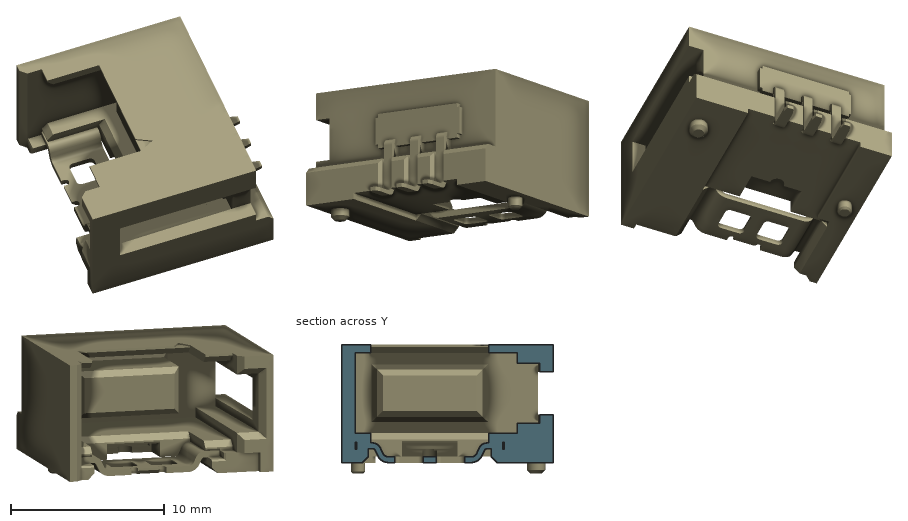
import cadquery as cq
import math


LEFT = -5.75
RIGHT = 8.05
BODY_BACK = 11.4
BODY_TOP = 7.7
BASE_BACK = 12.6
BASE_TOP = 2.53
BASE_CHAMFER = 0.35

CAVITY_LEFT = -4.85
CAVITY_RIGHT = 5.68
CAVITY_BACK = 10.2
FLOOR = 1.93
CEILING = 7.14
MOUTH_DEPTH = 1.41
MOUTH_CHAMFER = 0.4
WINDOW_HALF = 3.83
WINDOW_BACK = 5.01
EDGE_CHAMFER = 0.4

KEY_RIGHT = 7.15
KEY_BOTTOM = 2.6
KEY_TOP = 6.46
KEY_CHAMFER = 0.42
KEY_LIP_DEPTH = 1.9
KEY_TAPER = 0.12
OPENING_BOTTOM = 3.14
OPENING_TOP = 5.92

TONGUE_Z = 4.53
TONGUE_FRONT = 5.93
TONGUE_TIP = (3.05, 1.16)
TONGUE_SHOULDER = (3.44, 1.55)
TONGUE_ROOT = (3.79, 1.87)

LEDGE_FRONT = 0.4
LEDGE_HALF = 3.98
LEDGE_CHAMFER = 0.4
SLOT_BOTTOM = 0.91
SLOT_TOP = 1.31
SLOT_RIGHT = 4.83
LEAD_IN = 0.12
LEAD_IN_DEPTH = 0.06
UNDERSIDE = 0.4
UNDERSIDE_STEP = 0.5
UNDERSIDE_LEFT = -3.54
UNDERSIDE_RIGHT = 4.4

PLATE_FRONT = 1.36
PLATE_BACK = 4.9
PLATE_THICKNESS = SLOT_TOP - SLOT_BOTTOM
EAR_HALF = 4.77
RAMP_ANGLE = 65
RAMP_TOP_X = 3.36
BEND_RADIUS = 0.6
FOOT_BEND_RADIUS = 0.4
PLATE_HOLE_X = 1.35
PLATE_HOLE_Y = 3.12
PLATE_HOLE_SIZE = (1.82, 1.74)
PLATE_HOLE_RADIUS = 0.3
NICK_X = 0.95
NICK_WIDTH = 0.44
NICK_DEPTH = 0.45
LIP_CHAMFER = 0.25

POCKET_HALF = 1.8
POCKET_BACK = 7.0
TAB_SLOT_HALF = 1.64
TAB_HALF = 1.55
TAB_SLOT_BOTTOM = 0.8
TAB_SLOT_DEPTH = 0.4
RECESS_DIAMETER = 0.96

PIN_PITCH = 2.0
PIN_WIDTH = 0.62
PIN_THICKNESS = 0.26
PIN_TIP_Y = 14.05
PIN_TAPER_LENGTH = 0.4
PIN_TAPER = 0.1
PIN_TOP = 3.82
PIN_FACE_Y = 12.24
PIN_BEND_RADIUS = 0.42
PIN_FOOT_RADIUS = 0.23
PIN_SLOT_WIDTH = 0.75
PIN_SLOT_LEAD = 0.24
PIN_SLOT_LEAD_WIDTH = 0.15
GUSSET_FOOT = 0.22
GUSSET_TOP = 3.23

PAD_HALF = 3.22
PAD_BOTTOM = 3.37
PAD_TOP = 5.66
PAD_THICKNESS = 0.4
PAD_CORNER_X = 0.17
PAD_CORNER_Z = 0.25

PEG_LENGTH = 0.7
PEGS = [(-4.67, 7.27, 0.93, 0.13), (6.91, 10.27, 1.2, 0.24)]

MARK_X = 3.3
MARK_HALF = 0.52
MARK_TIP_Y = 6.0
MARK_DEPTH = 0.1

MARGIN = 1.0


def box(x0, x1, y0, y1, z0, z1):
    return cq.Workplane("XY").box(x1 - x0, y1 - y0, z1 - z0, centered=False).translate((x0, y0, z0))


def prism_along_x(points, x0, x1):
    """Outline of (y, z) points extruded from x0 to x1."""
    return cq.Workplane("YZ").polyline(points).close().extrude(x1 - x0).translate((x0, 0, 0))


def prism_along_y(points, y0, y1):
    """Outline of (x, z) points extruded from y0 to y1."""
    return cq.Workplane("XZ").polyline(points).close().extrude(y0 - y1).translate((0, y0, 0))


def prism_along_z(points, z0, z1):
    """Outline of (x, y) points extruded from z0 to z1."""
    return cq.Workplane("XY").polyline(points).close().extrude(z1 - z0).translate((0, 0, z0))


def outer_body():
    profile = [
        (0, 0),
        (BASE_BACK, 0),
        (BASE_BACK, BASE_TOP - BASE_CHAMFER),
        (BASE_BACK - BASE_CHAMFER, BASE_TOP),
        (BODY_BACK, BASE_TOP),
        (BODY_BACK, BODY_TOP),
        (0, BODY_TOP),
    ]
    return prism_along_x(profile, LEFT, RIGHT)


def edge_bevels(y, x0, x1):
    """Wedges that bevel the ceiling and floor edges lying at depth y."""
    bevels = cq.Workplane("XY")
    for face, outward in ((CEILING, 1), (FLOOR, -1)):
        wedge = [(y, face), (y + EDGE_CHAMFER, face), (y, face + outward * EDGE_CHAMFER)]
        bevels = bevels.add(prism_along_x(wedge, x0, x1))
    return bevels.combine()


def cut_cavity(body):
    body = body.cut(box(CAVITY_LEFT, CAVITY_RIGHT, 0, CAVITY_BACK, FLOOR, CEILING))
    mouth = [
        (CAVITY_LEFT - MOUTH_CHAMFER, 0),
        (CAVITY_LEFT, MOUTH_CHAMFER),
        (CAVITY_LEFT, MOUTH_DEPTH),
        (CAVITY_RIGHT, MOUTH_DEPTH),
        (CAVITY_RIGHT, MOUTH_CHAMFER),
        (CAVITY_RIGHT + MOUTH_CHAMFER, 0),
    ]
    body = body.cut(prism_along_z(mouth, 0, BODY_TOP))
    body = body.cut(box(-WINDOW_HALF, WINDOW_HALF, 0, WINDOW_BACK, 0, BODY_TOP))
    body = body.cut(edge_bevels(MOUTH_DEPTH, CAVITY_LEFT, -WINDOW_HALF))
    body = body.cut(edge_bevels(MOUTH_DEPTH, WINDOW_HALF, CAVITY_RIGHT))
    return body.cut(edge_bevels(WINDOW_BACK, -WINDOW_HALF, WINDOW_HALF))


def cut_key_slot(body):
    back_right = KEY_RIGHT - KEY_TAPER
    slot = [
        (CAVITY_RIGHT - MARGIN, 0),
        (KEY_RIGHT, 0),
        (KEY_RIGHT, KEY_LIP_DEPTH),
        (back_right, CAVITY_BACK),
        (CAVITY_RIGHT - MARGIN, CAVITY_BACK),
    ]
    body = body.cut(prism_along_z(slot, KEY_BOTTOM, KEY_TOP))
    height = KEY_TOP - KEY_BOTTOM
    flare = (
        cq.Workplane("XZ")
        .center((CAVITY_LEFT + KEY_RIGHT) / 2, (KEY_BOTTOM + KEY_TOP) / 2)
        .rect(KEY_RIGHT - CAVITY_LEFT + 2 * KEY_CHAMFER, height + 2 * KEY_CHAMFER)
        .workplane(offset=-KEY_CHAMFER)
        .rect(KEY_RIGHT - CAVITY_LEFT, height)
        .loft(ruled=True)
    )
    right_part = box(0, RIGHT, 0, KEY_CHAMFER, 0, BODY_TOP)
    body = body.cut(flare.intersect(right_part))
    opening = box(back_right, RIGHT, KEY_LIP_DEPTH, BODY_BACK, OPENING_BOTTOM, OPENING_TOP)
    return body.cut(opening)


def frustum(front, back, front_y, back_y):
    """Four-sided taper between two (half width, half height) sections of the tongue."""
    return (
        cq.Workplane("XZ", origin=(0, front_y, TONGUE_Z))
        .rect(2 * front[0], 2 * front[1])
        .workplane(offset=front_y - back_y)
        .rect(2 * back[0], 2 * back[1])
        .loft(ruled=True)
    )


def tongue():
    shoulder_y = TONGUE_FRONT + TONGUE_SHOULDER[0] - TONGUE_TIP[0]
    root_y = CAVITY_BACK - (TONGUE_ROOT[0] - TONGUE_SHOULDER[0])
    half_width, half_height = TONGUE_SHOULDER
    shank = box(
        -half_width, half_width, shoulder_y, root_y, TONGUE_Z - half_height, TONGUE_Z + half_height
    )
    tip = frustum(TONGUE_TIP, TONGUE_SHOULDER, TONGUE_FRONT, shoulder_y)
    return tip.union(shank).union(frustum(TONGUE_SHOULDER, TONGUE_ROOT, root_y, CAVITY_BACK))


def ceiling_lead_in(y, x0, x1):
    """Bevel along the front edge, at depth y, of a slot under the cavity floor."""
    wedge = [(y, SLOT_TOP), (y + LEAD_IN_DEPTH, SLOT_TOP), (y, SLOT_TOP + LEAD_IN)]
    return prism_along_x(wedge, x0, x1)


def ledge(wall, side):
    """Ledge under one ear, from the side wall inward, with a bevelled front edge."""
    profile = [
        (wall, 0),
        (side * (LEDGE_HALF + LEDGE_CHAMFER), 0),
        (side * LEDGE_HALF, UNDERSIDE),
        (side * LEDGE_HALF, SLOT_BOTTOM),
        (wall, SLOT_BOTTOM),
    ]
    bevel = [
        (LEDGE_FRONT, SLOT_BOTTOM),
        (LEDGE_FRONT + LEAD_IN_DEPTH, SLOT_BOTTOM),
        (LEDGE_FRONT, SLOT_BOTTOM - LEAD_IN),
    ]
    inner, outer = sorted((side * LEDGE_HALF, wall))
    return prism_along_y(profile, LEDGE_FRONT, WINDOW_BACK).cut(prism_along_x(bevel, inner, outer))


def stop_block():
    """Block that closes the right end of the ear slot, with a bevelled front corner."""
    outline = [
        (SLOT_RIGHT + LEAD_IN, LEDGE_FRONT),
        (CAVITY_RIGHT, LEDGE_FRONT),
        (CAVITY_RIGHT, MOUTH_DEPTH),
        (SLOT_RIGHT, MOUTH_DEPTH),
        (SLOT_RIGHT, LEDGE_FRONT + LEAD_IN_DEPTH),
    ]
    return prism_along_z(outline, SLOT_BOTTOM - LEAD_IN, SLOT_TOP)


def shape_underside(body):
    """Ledges, ear slots and relief below the cavity floor."""
    body = body.cut(box(CAVITY_RIGHT, KEY_RIGHT, 0, LEDGE_FRONT, 0, SLOT_TOP))
    body = body.cut(box(CAVITY_LEFT, SLOT_RIGHT, MOUTH_DEPTH, WINDOW_BACK, 0, SLOT_TOP))
    body = body.cut(ceiling_lead_in(MOUTH_DEPTH, CAVITY_LEFT, SLOT_RIGHT))
    body = body.union(ledge(CAVITY_LEFT, -1)).union(ledge(SLOT_RIGHT + LEAD_IN, 1))
    body = body.union(stop_block())
    body = body.union(
        box(SLOT_RIGHT + LEAD_IN, CAVITY_RIGHT, LEDGE_FRONT, MOUTH_DEPTH, 0, SLOT_BOTTOM)
    )
    step_y = WINDOW_BACK + UNDERSIDE_STEP
    step_left = -LEDGE_HALF - LEDGE_CHAMFER
    body = body.cut(box(step_left, UNDERSIDE_RIGHT, WINDOW_BACK, step_y, 0, UNDERSIDE))
    return body.cut(box(UNDERSIDE_LEFT, UNDERSIDE_RIGHT, step_y, BASE_BACK, 0, UNDERSIDE))


def cut_pocket(body):
    """Pocket under the floor whose back wall holds a wide slot, a tab and a round recess."""
    slot_back = POCKET_BACK + TAB_SLOT_DEPTH
    body = body.cut(box(-POCKET_HALF, POCKET_HALF, WINDOW_BACK, POCKET_BACK, 0, SLOT_TOP))
    body = body.cut(ceiling_lead_in(WINDOW_BACK, -POCKET_HALF, POCKET_HALF))
    body = body.cut(
        box(-TAB_SLOT_HALF, TAB_SLOT_HALF, POCKET_BACK, slot_back, TAB_SLOT_BOTTOM, SLOT_TOP)
    )
    recess = (
        cq.Workplane("XY", origin=(0, POCKET_BACK, 0))
        .circle(RECESS_DIAMETER / 2)
        .extrude(SLOT_BOTTOM)
    )
    body = body.cut(recess)
    return body.union(box(-TAB_HALF, TAB_HALF, POCKET_BACK, slot_back, SLOT_BOTTOM, SLOT_TOP))


def spring_plate():
    angle = math.radians(RAMP_ANGLE)
    ramp_foot_x = RAMP_TOP_X - SLOT_BOTTOM / math.tan(angle)
    shift = PLATE_THICKNESS * math.tan(angle / 2)
    right_half = [
        (ramp_foot_x + shift, 0),
        (RAMP_TOP_X + shift, SLOT_BOTTOM),
        (EAR_HALF, SLOT_BOTTOM),
        (EAR_HALF, SLOT_TOP),
        (RAMP_TOP_X, SLOT_TOP),
        (ramp_foot_x, PLATE_THICKNESS),
    ]
    left_half = [(-x, z) for x, z in reversed(right_half)]
    plate = prism_along_y(right_half + left_half, PLATE_FRONT, PLATE_BACK)

    bends = [
        (RAMP_TOP_X, SLOT_TOP, BEND_RADIUS),
        (RAMP_TOP_X + shift, SLOT_BOTTOM, BEND_RADIUS - PLATE_THICKNESS),
        (ramp_foot_x, PLATE_THICKNESS, FOOT_BEND_RADIUS),
        (ramp_foot_x + shift, 0, FOOT_BEND_RADIUS + PLATE_THICKNESS),
    ]
    middle_y = (PLATE_FRONT + PLATE_BACK) / 2
    for x, z, radius in bends:
        for side in (-1, 1):
            edge = cq.selectors.NearestToPointSelector((side * x, middle_y, z))
            plate = plate.edges("|Y").edges(edge).fillet(radius)

    holes = (
        cq.Workplane("XY")
        .pushPoints([(-PLATE_HOLE_X, PLATE_HOLE_Y), (PLATE_HOLE_X, PLATE_HOLE_Y)])
        .rect(*PLATE_HOLE_SIZE)
        .extrude(PLATE_THICKNESS)
        .edges("|Z")
        .fillet(PLATE_HOLE_RADIUS)
    )
    nicks = (
        cq.Workplane("XY")
        .pushPoints([(-NICK_X, PLATE_FRONT), (NICK_X, PLATE_FRONT)])
        .slot2D(2 * NICK_DEPTH, NICK_WIDTH, 90)
        .extrude(PLATE_THICKNESS)
    )
    lip = [(PLATE_FRONT, 0), (PLATE_FRONT + LIP_CHAMFER, 0), (PLATE_FRONT, LIP_CHAMFER)]
    return plate.cut(holes).cut(nicks).cut(prism_along_x(lip, -NICK_X, NICK_X))


def cut_pin_slot(body, x):
    half = PIN_SLOT_WIDTH / 2
    lead_x = half + PIN_SLOT_LEAD_WIDTH
    slot = [
        (x - half, PIN_FACE_Y - PIN_THICKNESS),
        (x - half, BASE_BACK - PIN_SLOT_LEAD),
        (x - lead_x, BASE_BACK),
        (x + lead_x, BASE_BACK),
        (x + half, BASE_BACK - PIN_SLOT_LEAD),
        (x + half, PIN_FACE_Y - PIN_THICKNESS),
    ]
    return body.cut(prism_along_z(slot, 0, BASE_TOP))


def pin(x):
    inner_y = PIN_FACE_Y - PIN_THICKNESS
    inner_radius = PIN_BEND_RADIUS - PIN_THICKNESS
    outer_foot_radius = PIN_FOOT_RADIUS + PIN_THICKNESS
    left = x - PIN_WIDTH / 2
    right = x + PIN_WIDTH / 2
    strip = (
        cq.Workplane("YZ")
        .moveTo(BODY_BACK, PIN_TOP)
        .lineTo(PIN_FACE_Y - PIN_BEND_RADIUS, PIN_TOP)
        .radiusArc((PIN_FACE_Y, PIN_TOP - PIN_BEND_RADIUS), PIN_BEND_RADIUS)
        .lineTo(PIN_FACE_Y, PIN_THICKNESS + PIN_FOOT_RADIUS)
        .radiusArc((PIN_FACE_Y + PIN_FOOT_RADIUS, PIN_THICKNESS), -PIN_FOOT_RADIUS)
        .lineTo(PIN_TIP_Y, PIN_THICKNESS)
        .lineTo(PIN_TIP_Y, 0)
        .lineTo(inner_y + outer_foot_radius, 0)
        .radiusArc((inner_y, outer_foot_radius), outer_foot_radius)
        .lineTo(inner_y, PIN_TOP - PIN_BEND_RADIUS)
        .radiusArc((inner_y - inner_radius, PIN_TOP - PIN_THICKNESS), -inner_radius)
        .lineTo(BODY_BACK, PIN_TOP - PIN_THICKNESS)
        .close()
        .extrude(PIN_WIDTH)
        .translate((left, 0, 0))
    )
    taper_y = PIN_TIP_Y - PIN_TAPER_LENGTH
    for edge, inward in ((left, 1), (right, -1)):
        corner = [(edge, taper_y), (edge, PIN_TIP_Y), (edge + inward * PIN_TAPER, PIN_TIP_Y)]
        strip = strip.cut(prism_along_z(corner, 0, PIN_THICKNESS))
    gusset = [
        (BODY_BACK, BASE_TOP),
        (BODY_BACK + GUSSET_FOOT, BASE_TOP),
        (inner_y, GUSSET_TOP),
        (inner_y, PIN_TOP - PIN_BEND_RADIUS),
        (inner_y - inner_radius, PIN_TOP - PIN_THICKNESS),
        (BODY_BACK, PIN_TOP - PIN_THICKNESS),
    ]
    return strip.union(prism_along_x(gusset, left, right))


def back_pad():
    """Pad with a square step in each corner, made of two crossed plates."""
    back = BODY_BACK + PAD_THICKNESS
    inner = PAD_HALF - PAD_CORNER_X
    low = PAD_BOTTOM + PAD_CORNER_Z
    high = PAD_TOP - PAD_CORNER_Z
    wide = box(-PAD_HALF, PAD_HALF, BODY_BACK, back, low, high)
    return wide.union(box(-inner, inner, BODY_BACK, back, PAD_BOTTOM, PAD_TOP))


def peg(x, y, diameter, chamfer):
    return (
        cq.Workplane("XY", origin=(x, y, 0))
        .circle(diameter / 2)
        .extrude(-PEG_LENGTH)
        .faces("<Z")
        .chamfer(chamfer)
    )


def orientation_mark():
    outline = [
        (MARK_X - MARK_HALF, WINDOW_BACK),
        (MARK_X + MARK_HALF, WINDOW_BACK),
        (MARK_X, MARK_TIP_Y),
    ]
    return prism_along_z(outline, BODY_TOP - MARK_DEPTH, BODY_TOP)


def connector():
    body = cut_cavity(outer_body())
    body = cut_key_slot(body)
    body = shape_underside(body)
    body = cut_pocket(body)
    body = body.union(tongue()).union(spring_plate()).union(back_pad())
    for x in (-PIN_PITCH, 0, PIN_PITCH):
        body = cut_pin_slot(body, x).union(pin(x))
    for dimensions in PEGS:
        body = body.union(peg(*dimensions))
    return body.cut(orientation_mark())


result = connector()